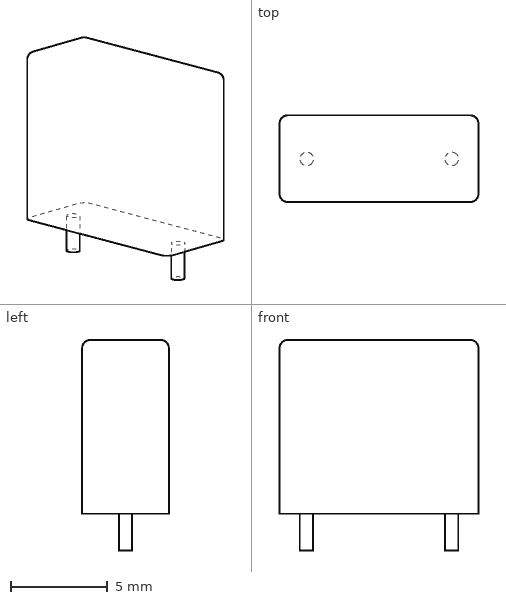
import cadquery as cq

total_height = 10.9
body_length = 10.3
body_width = 4.5
body_height = 9.0
edge_radius = 0.45
lead_diameter = 0.7
lead_pitch = 7.5
lead_length = total_height - body_height


def make_body():
    """Block rounded on its upright and top edges, with a sharp bottom rim."""
    block = cq.Workplane("XY").box(body_length, body_width, body_height, centered=(True, True, False))
    return block.edges("|Z or >Z").fillet(edge_radius)


def make_leads():
    """Two round leads hanging from the underside of the body."""
    lead_centres = [(-lead_pitch / 2, 0), (lead_pitch / 2, 0)]
    return cq.Workplane("XY").pushPoints(lead_centres).circle(lead_diameter / 2).extrude(-lead_length)


result = make_body().union(make_leads())